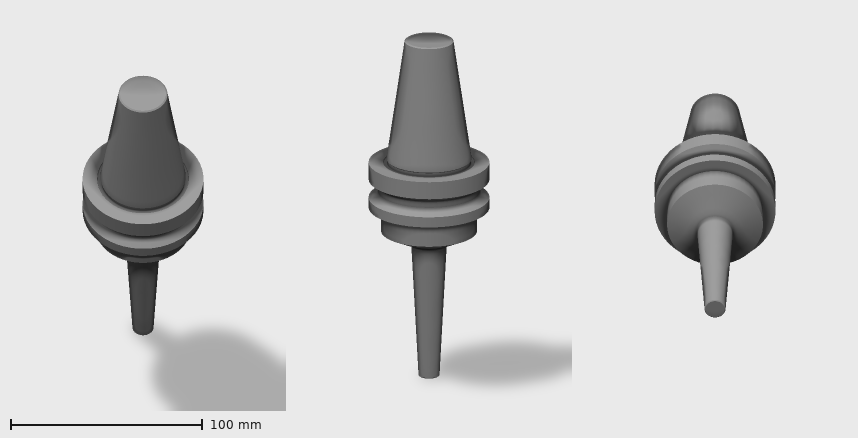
import cadquery as cq
import math

TAPER_LENGTH = 65.4
PROJECTION = 120.0
TIP_Z = -PROJECTION

GAUGE_RADIUS = 44.45 / 2
TAPER_SLOPE = 7 / 48
SHANK_CHAMFER_WIDTH = 0.8
SHANK_CHAMFER_HEIGHT = 0.5

RELIEF_STEP_HEIGHT = 0.5
RELIEF_NECK_RADIUS = 21.8
RELIEF_OUTER_RADIUS = 23.9
RELIEF_DEPTH = 0.8
RELIEF_FILLET = 0.6

FLANGE_RADIUS = 63 / 2
FLANGE_TOP = -2.0
FLANGE_BOTTOM = -27.0
GROOVE_RADIUS = 53.2 / 2
GROOVE_TOP = -11.4
GROOVE_BOTTOM = -21.4
GROOVE_FLANK_ANGLE = 30.0
GROOVE_FILLET = 1.2

NOSE_RADIUS = 50 / 2
NOSE_BOTTOM = -40.0
CONE_ANGLE = 25.0
NECK_ANGLE = 3.0
NECK_FILLET = 1.2
TIP_RADIUS = 11 / 2
TIP_CHAMFER = 0.5

SELECTION_MARGIN = 0.01

FLANK_HEIGHT = (FLANGE_RADIUS - GROOVE_RADIUS) * math.tan(math.radians(GROOVE_FLANK_ANGLE))
GROOVE_FLOOR_TOP = GROOVE_TOP - FLANK_HEIGHT
GROOVE_FLOOR_BOTTOM = GROOVE_BOTTOM + FLANK_HEIGHT
RELIEF_FLOOR = FLANGE_TOP - RELIEF_DEPTH


def neck_top():
    """Radius and height of the corner where the tapered neck meets the nose cone."""
    neck_slope = math.tan(math.radians(NECK_ANGLE))
    cone_slope = math.tan(math.radians(CONE_ANGLE))
    neck_radius_at_nose = TIP_RADIUS + (NOSE_BOTTOM - TIP_Z) * neck_slope
    cone_height = (NOSE_RADIUS - neck_radius_at_nose) * cone_slope / (1 - neck_slope * cone_slope)
    height = NOSE_BOTTOM - cone_height
    radius = TIP_RADIUS + (height - TIP_Z) * neck_slope
    return radius, height


def nose_outline():
    """Half outline from the tip up to the underside of the flange."""
    return [
        (0, TIP_Z),
        (TIP_RADIUS - TIP_CHAMFER, TIP_Z),
        (TIP_RADIUS, TIP_Z + TIP_CHAMFER),
        neck_top(),
        (NOSE_RADIUS, NOSE_BOTTOM),
        (NOSE_RADIUS, FLANGE_BOTTOM),
    ]


def flange_outline():
    """Half outline of the flange with its V groove."""
    return [
        (FLANGE_RADIUS, FLANGE_BOTTOM),
        (FLANGE_RADIUS, GROOVE_BOTTOM),
        (GROOVE_RADIUS, GROOVE_FLOOR_BOTTOM),
        (GROOVE_RADIUS, GROOVE_FLOOR_TOP),
        (FLANGE_RADIUS, GROOVE_TOP),
        (FLANGE_RADIUS, FLANGE_TOP),
    ]


def shank_outline():
    """Half outline of the relief ring and the tapered shank above it."""
    chamfer_start = TAPER_LENGTH - SHANK_CHAMFER_HEIGHT
    end_radius = GAUGE_RADIUS - chamfer_start * TAPER_SLOPE
    return [
        (RELIEF_OUTER_RADIUS, FLANGE_TOP),
        (RELIEF_OUTER_RADIUS, RELIEF_FLOOR),
        (RELIEF_NECK_RADIUS, RELIEF_FLOOR),
        (RELIEF_NECK_RADIUS, -RELIEF_STEP_HEIGHT),
        (GAUGE_RADIUS, 0),
        (end_radius, chamfer_start),
        (end_radius - SHANK_CHAMFER_WIDTH, TAPER_LENGTH),
        (0, TAPER_LENGTH),
    ]


def round_rings(body, height, fillet_radius):
    """Fillet every circular edge centred on the axis at the given height."""
    margin = SELECTION_MARGIN
    rings = cq.selectors.BoxSelector(
        (-margin, -margin, height - margin),
        (margin, margin, height + margin),
    )
    return body.edges("%CIRCLE").edges(rings).fillet(fillet_radius)


outline = nose_outline() + flange_outline() + shank_outline()
holder = cq.Workplane("XZ").polyline(outline).close().revolve(360, (0, 0, 0), (0, 1, 0))

_, neck_top_height = neck_top()
holder = round_rings(holder, neck_top_height, NECK_FILLET)
holder = round_rings(holder, GROOVE_FLOOR_BOTTOM, GROOVE_FILLET)
holder = round_rings(holder, GROOVE_FLOOR_TOP, GROOVE_FILLET)
holder = round_rings(holder, RELIEF_FLOOR, RELIEF_FILLET)

result = holder